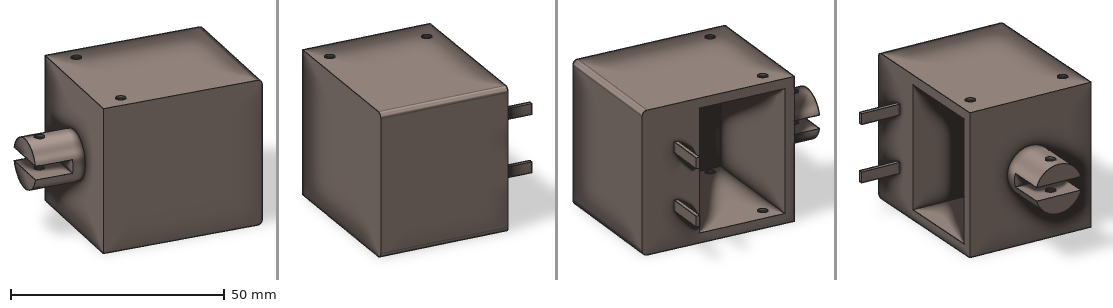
import cadquery as cq

total_length = 53.55
plunger_length = 12.7
housing_width = 33.45
housing_height = 37.3
housing_length = total_length - plunger_length
rear_edge_radius = 1.3

wall = 2.55
window_length = 22.95
window_depth = housing_width - wall
window_height = housing_height - 2 * wall

hole_diameter = 2.45
mounting_hole_spacing = 25.4
mounting_hole_setback = 6.25

plunger_diameter = 12.7
slot_width = 3.5
slot_depth = 9.55
pin_hole_from_tip = 3.7

terminal_length = 10.55
terminal_width = 2.8
terminal_thickness = 1.0
terminal_spacing = 15.0
terminal_from_rear = 9.1


def vertical_hole(x, y):
    """Cutter for a hole running along Z through the full height."""
    cutter = cq.Workplane("XY").center(x, y).circle(hole_diameter / 2)
    return cutter.extrude(housing_height / 2, both=True)


def make_housing():
    """Box with rounded rear edges, a side window and mounting holes."""
    housing = cq.Workplane("XY").box(
        housing_width, housing_length, housing_height, centered=(True, False, True)
    )
    housing = housing.edges("|X and >Y").fillet(rear_edge_radius)
    window = cq.Workplane("XY").box(
        window_depth, window_length, window_height, centered=(False, False, True)
    )
    housing = housing.cut(window.translate((-housing_width / 2, wall, 0)))
    for side in (-1, 1):
        x = side * mounting_hole_spacing / 2
        housing = housing.cut(vertical_hole(x, mounting_hole_setback))
    return housing


def make_plunger():
    """Round plunger along -Y, slotted at its tip and cross-drilled for a pin."""
    plunger = cq.Workplane("XZ").circle(plunger_diameter / 2).extrude(plunger_length)
    slot = cq.Workplane("XY").box(
        plunger_diameter, slot_depth, slot_width, centered=(True, False, True)
    )
    plunger = plunger.cut(slot.translate((0, -plunger_length, 0)))
    return plunger.cut(vertical_hole(0, pin_hole_from_tip - plunger_length))


def make_terminal(z):
    """Flat blade standing out of the -X face at height z."""
    blade = cq.Workplane("XY").box(terminal_length, terminal_thickness, terminal_width)
    x = -(housing_width + terminal_length) / 2
    return blade.translate((x, housing_length - terminal_from_rear, z))


result = make_housing().union(make_plunger())
for side in (-1, 1):
    result = result.union(make_terminal(side * terminal_spacing / 2))